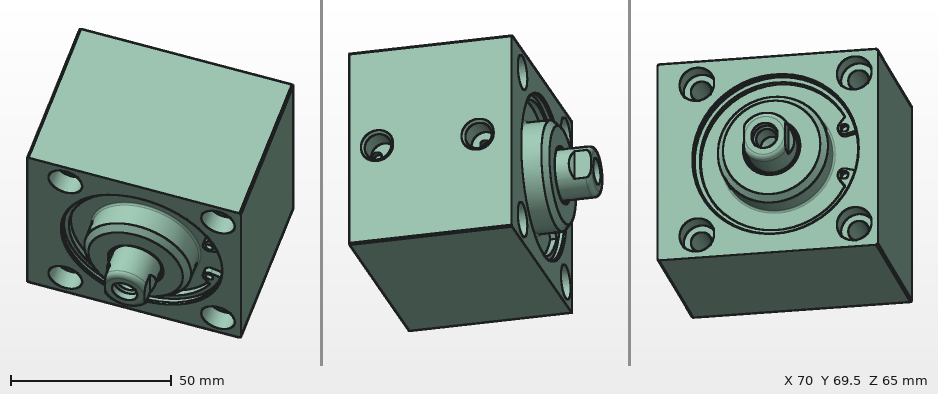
import cadquery as cq
import math


HOUSING_WIDTH = 70.0
HOUSING_LENGTH = 52.5
HOUSING_HEIGHT = 65.0
HOUSING_SHIFT_X = -2.5
EDGE_CHAMFER = 0.5

BORE_DIAMETER = 52.2
BORE_DEPTH = 17.5
BORE_MOUTH_DIAMETER = 52.9
BORE_MOUTH_DEPTH = 0.6
GROOVE_DIAMETER = 56.0

MOUNT_PITCH = 50.0
MOUNT_DIAMETER = 6.5
MOUNT_HEAD_DIAMETER = 11.0
MOUNT_HEAD_DEPTH = 6.5

PORT_DIAMETER = 8.55
PORT_DEPTH = 8.4
PORT_MOUTH_DIAMETER = 10.4
PORT_MOUTH_DEPTH = 1.0
PASSAGE_DIAMETER = 3.0
PASSAGE_DEPTH = 2.1
FRONT_PORT_Y = 11.0
REAR_PORT_Y = HOUSING_LENGTH - 9.0
REAR_PASSAGE_OFFSET = 2.4

RING_INNER_RADIUS = 24.5
RING_OUTER_RADIUS = GROOVE_DIAMETER / 2
RING_RECESS = 2.0
RING_THICKNESS = 2.0
LUG_RADIUS = 2.1
LUG_HOLE_DIAMETER = 2.5
LUG_X = 21.4
LUG_Z = 7.8
LUG_ROOT_ANGLE = 28.0

COVER_DIAMETER = 51.8
COVER_FACE_Y = RING_RECESS + RING_THICKNESS
BOSS_DIAMETER = 35.0
BOSS_PROJECTION = 6.0
BOSS_CHAMFER = 2.0
BOSS_ROOT_RADIUS = 0.6

WIPER_DIAMETER = 17.7
WIPER_DEPTH = 0.4
WIPER_CHAMFER = 0.3
LIP_DIAMETER = 16.5
LIP_DEPTH = 1.05

ROD_DIAMETER = 16.0
ROD_PROJECTION = 17.0
ROD_END_RADIUS = 1.75
FLAT_WIDTH = 13.0
FLAT_LENGTH = 5.3
ROD_MOUTH_DIAMETER = 8.25
ROD_MOUTH_DEPTH = 2.5
ROD_HOLE_DIAMETER = 6.65
ROD_HOLE_DEPTH = 10.5
ROD_HOLE_TIP_ANGLE = 118.0


def revolved(profile):
    """Turn a closed (radius, y) outline around the Y axis."""
    return cq.Workplane("XY").polyline(profile).close().revolve(360, (0, 0, 0), (0, 1, 0))


def cylinder_y(diameter, y_start, y_end, x=0.0, z=0.0):
    """Cylinder along Y between two planes."""
    base = cq.Vector(x, y_start, z)
    return cq.Workplane(cq.Solid.makeCylinder(diameter / 2, y_end - y_start, base, cq.Vector(0, 1, 0)))


def port_cutter(y, passage_offset):
    """Port with a conical mouth and a narrow passage in its floor."""
    face_x = HOUSING_SHIFT_X - HOUSING_WIDTH / 2
    inward = cq.Vector(1, 0, 0)
    start = cq.Vector(face_x, y, 0)
    mouth = cq.Solid.makeCone(
        PORT_MOUTH_DIAMETER / 2, PORT_DIAMETER / 2, PORT_MOUTH_DEPTH, start, inward
    )
    port = cq.Solid.makeCylinder(PORT_DIAMETER / 2, PORT_DEPTH, start, inward)
    passage_start = cq.Vector(face_x, y + passage_offset, 0)
    passage = cq.Solid.makeCylinder(PASSAGE_DIAMETER / 2, PORT_DEPTH + PASSAGE_DEPTH, passage_start, inward)
    return cq.Workplane(mouth).union(cq.Workplane(port)).union(cq.Workplane(passage))


def make_housing():
    block = (
        cq.Workplane("XY")
        .box(HOUSING_WIDTH, HOUSING_LENGTH, HOUSING_HEIGHT)
        .edges("|Y")
        .chamfer(EDGE_CHAMFER)
        .translate((HOUSING_SHIFT_X, HOUSING_LENGTH / 2, 0))
    )
    bore_radius = BORE_DIAMETER / 2
    bore = revolved([
        (0, 0),
        (BORE_MOUTH_DIAMETER / 2, 0),
        (bore_radius, BORE_MOUTH_DEPTH),
        (bore_radius, BORE_DEPTH),
        (0, BORE_DEPTH),
    ])
    groove = cylinder_y(GROOVE_DIAMETER, RING_RECESS, COVER_FACE_Y)
    block = block.cut(bore).cut(groove)
    for x in (-MOUNT_PITCH / 2, MOUNT_PITCH / 2):
        for z in (-MOUNT_PITCH / 2, MOUNT_PITCH / 2):
            block = block.cut(cylinder_y(MOUNT_DIAMETER, 0, HOUSING_LENGTH, x, z))
            block = block.cut(cylinder_y(MOUNT_HEAD_DIAMETER, 0, MOUNT_HEAD_DEPTH, x, z))
    block = block.cut(port_cutter(FRONT_PORT_Y, 0))
    block = block.cut(port_cutter(REAR_PORT_Y, REAR_PASSAGE_OFFSET))
    return block


def polar(radius, angle):
    return (radius * math.cos(angle), radius * math.sin(angle))


def make_ring():
    """Open ring whose gap is centred on +X, with a rounded lug at each end."""
    lug_distance = math.hypot(LUG_X, LUG_Z)
    lug_angle = math.atan2(LUG_Z, LUG_X)
    end_angle = lug_angle - math.asin(LUG_RADIUS / lug_distance)
    end_inner = polar(math.sqrt(lug_distance**2 - LUG_RADIUS**2), end_angle)
    end_outer = polar(RING_OUTER_RADIUS, end_angle)
    root = polar(RING_INNER_RADIUS, math.radians(LUG_ROOT_ANGLE))
    root_distance = math.hypot(root[0] - LUG_X, root[1] - LUG_Z)
    root_direction = math.atan2(root[1] - LUG_Z, root[0] - LUG_X)
    touch_angle = root_direction + math.acos(LUG_RADIUS / root_distance)
    touch_x, touch_z = polar(LUG_RADIUS, touch_angle)
    touch = (LUG_X + touch_x, LUG_Z + touch_z)
    middle_angle = (touch_angle + end_angle + 3 * math.pi / 2) / 2
    middle_x, middle_z = polar(LUG_RADIUS, middle_angle)
    middle = (LUG_X + middle_x, LUG_Z + middle_z)

    def mirrored(point):
        return (point[0], -point[1])

    outline = (
        cq.Workplane("XZ", origin=(0, COVER_FACE_Y, 0))
        .moveTo(*end_outer)
        .threePointArc((-RING_OUTER_RADIUS, 0), mirrored(end_outer))
        .lineTo(*mirrored(end_inner))
        .threePointArc(mirrored(middle), mirrored(touch))
        .lineTo(*mirrored(root))
        .threePointArc((-RING_INNER_RADIUS, 0), root)
        .lineTo(*touch)
        .threePointArc(middle, end_inner)
        .close()
    )
    ring = outline.extrude(RING_THICKNESS)
    for z in (-LUG_Z, LUG_Z):
        ring = ring.cut(cylinder_y(LUG_HOLE_DIAMETER, RING_RECESS, COVER_FACE_Y, LUG_X, z))
    return ring


def make_cover():
    """Stepped plug with a rounded boss root, bored for the rod and joined to the ring."""
    boss_radius = BOSS_DIAMETER / 2
    cover_radius = COVER_DIAMETER / 2
    front = -BOSS_PROJECTION
    plug = (
        cq.Workplane("XY")
        .moveTo(0, front)
        .lineTo(boss_radius - BOSS_CHAMFER, front)
        .lineTo(boss_radius, front + BOSS_CHAMFER)
        .lineTo(boss_radius, COVER_FACE_Y - BOSS_ROOT_RADIUS)
        .tangentArcPoint((BOSS_ROOT_RADIUS, BOSS_ROOT_RADIUS))
        .lineTo(cover_radius, COVER_FACE_Y)
        .lineTo(cover_radius, BORE_DEPTH)
        .lineTo(0, BORE_DEPTH)
        .close()
        .revolve(360, (0, 0, 0), (0, 1, 0))
    )
    wiper_radius = WIPER_DIAMETER / 2
    rod_hole = revolved([
        (0, front),
        (wiper_radius + WIPER_CHAMFER, front),
        (wiper_radius, front + WIPER_CHAMFER),
        (wiper_radius, front + WIPER_DEPTH),
        (LIP_DIAMETER / 2, front + LIP_DEPTH),
        (ROD_DIAMETER / 2, front + LIP_DEPTH),
        (ROD_DIAMETER / 2, BORE_DEPTH),
        (0, BORE_DEPTH),
    ])
    return plug.cut(rod_hole).union(make_ring())


def make_rod():
    tip = -ROD_PROJECTION
    rod = cylinder_y(ROD_DIAMETER, tip, BORE_DEPTH).faces("<Y").edges().fillet(ROD_END_RADIUS)
    flat_x = FLAT_WIDTH / 2
    rod_x = ROD_DIAMETER / 2
    flat_end = tip + FLAT_LENGTH
    for side in (-1, 1):
        flat = (
            cq.Workplane("XY")
            .polyline([
                (side * flat_x, tip),
                (side * flat_x, flat_end),
                (side * rod_x, flat_end + rod_x - flat_x),
                (side * rod_x, tip),
            ])
            .close()
            .extrude(rod_x, both=True)
        )
        rod = rod.cut(flat)
    mouth_radius = ROD_MOUTH_DIAMETER / 2
    hole_radius = ROD_HOLE_DIAMETER / 2
    tip_depth = hole_radius / math.tan(math.radians(ROD_HOLE_TIP_ANGLE / 2))
    hole = revolved([
        (0, tip),
        (mouth_radius, tip),
        (mouth_radius, tip + ROD_MOUTH_DEPTH),
        (hole_radius, tip + ROD_MOUTH_DEPTH + mouth_radius - hole_radius),
        (hole_radius, tip + ROD_HOLE_DEPTH),
        (0, tip + ROD_HOLE_DEPTH + tip_depth),
    ])
    return rod.cut(hole)


housing = make_housing()
cover = make_cover()
rod = make_rod()
result = cq.Compound.makeCompound([housing.val(), cover.val(), rod.val()])